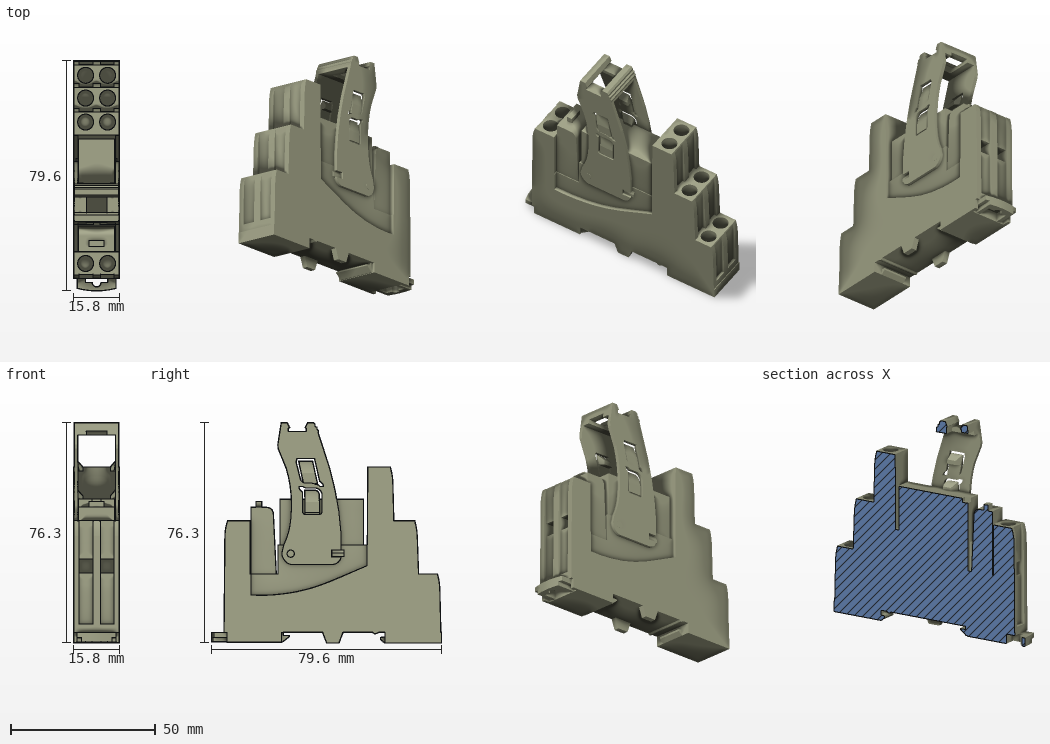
import cadquery as cq


OVERLAP = 1.0

WIDTH = 15.8
LENGTH = 79.61
HEIGHT = 76.3
HALF_WIDTH = WIDTH / 2
BACK_Y = LENGTH / 2
TAB_TIP_Y = -LENGTH / 2

STEP_LOW_Z = 24.0
STEP_MID_Z = 42.35
STEP_HIGH_Z = 60.95
LOW_TOP_Y = 38.35
MID_WALL_Y = 31.85
MID_TOP_Y = 30.5
HIGH_WALL_Y = 23.3
HIGH_TOP_Y = 22.05
SHOULDER_DROP = 5.45
TOWER_Y = 14.2
FRONT_Y = -35.5
FRONT_TOP_Y = -34.25
FRONT_TOWER_Y = -26.4

RAIL_SEAT_Z = 3.7
PLINTH_Z = 3.85
PLINTH_STEP = 0.25
FRONT_FOOT_Z = 0.25
BACK_FOOT_Y = 20.15
FRONT_FOOT_Y = -15.65
FRONT_FOOT_END_Y = -34.5
BACK_HOOK_HALF_WIDTH = 4.75
FRONT_HOOK_HALF_WIDTH = 6.9
KEEL_RIB_WIDTH = 2.0

CORE_HALF_WIDTH = 6.5
CORE_TOP_Z = 34.0
CORE_BACK_Y = 14.0
CORE_FRONT_Y = -16.85
RECESS_FRONT_Y = -26.2
RECESS_BACK_Z = 26.8
RECESS_FRONT_Z = 16.6
CORE_NOTCH_WIDTH = 2.2
CORE_NOTCH_DEPTH = 0.75

SCREW_HOLE_DIAMETER = 5.5
SCREW_HOLE_DEPTH = 10.0
SCREW_HOLE_X = 3.8
POCKET_INNER_X = 1.3
POCKET_OUTER_X = 6.0
POCKET_BOTTOM_Z = 6.55
POCKET_FRONT_FLOOR_Y = -34.1
WIRE_ENTRY_BOTTOM_Z = 24.2
WIRE_ENTRY_TOP_Z = 29.1
WIRE_ENTRY_DEPTH = 6.0

COVER_HALF_WIDTH = 6.24
RELAY_BACK_Y = 12.8
RELAY_FRONT_Y = -16.15
RELAY_TOP_Z = 49.8
RELAY_NOTCH_WIDTH = 3.2
RELAY_NOTCH_LENGTH = 2.4
RELAY_NOTCH_DEPTH = 1.4
MODULE_TOP_Z = 47.0
MODULE_FOOT_Y = -17.35
MODULE_SHOULDER_Y = -18.35
MODULE_SHOULDER_RADIUS = 2.4
BUTTON_WIDTH = 5.2
BUTTON_BACK_Y = -22.4
BUTTON_FRONT_Y = -24.45
BUTTON_HEIGHT = 2.05

LEVER_OUTER_X = 7.75
LEVER_INNER_X = 6.46
LEVER_BOTTOM_Z = 27.2
BAR_BOTTOM_Z = 71.9
BAR_SADDLE_Z = 73.2
BAR_SLOT_HALF_WIDTH = 3.57
BAR_SLOT_TOP_Z = 73.4
BAR_SADDLE_BACK_Y = -7.1
BAR_SADDLE_FRONT_Y = -13.25
BAR_FRONT_LIMIT_Y = -18.0
PIN_Y = -12.4
PIN_Z = 30.95
PIN_DIAMETER = 2.5
PIN_PROUD = 0.08

TAB_RECESS = 0.1
TAB_TIP_OUTER_X = 6.7
WEDGE_TIP_X = 4.75
WEDGE_SLOPE_HEIGHT = 2.0
WEDGE_HEIGHT = 3.5
TAB_BEND_DROP = 4.2
ROOT_WEB_OUTER_X = 7.2
UPPER_TAB_TOP_Z = 62.95
UPPER_TAB_BOTTOM_Z = 55.1
UPPER_WEDGE_FRONT_Y = -9.4
LOWER_WINDOW_BOTTOM_Z = 44.5
LOWER_TAB_TOP_Z = 52.9
LOWER_TAB_BOTTOM_Z = 45.15
LOWER_WEDGE_FRONT_Y = -7.5

NUB_BACK_Y = 5.95
NUB_FRONT_Y = 1.95
NUB_TOP_Z = 32.2
NUB_MIDDLE_Z = 31.1
NUB_BOTTOM_Z = 29.9
NUB_TIP_X = 7.1
LATCH_SLOT_FRONT_Y = 1.7
LATCH_SLOT_BACK_Y = 7.0
LATCH_SLOT_CLEARANCE = 0.1

RELEASE_HALF_WIDTH = 6.75
RELEASE_LOWER_HALF_WIDTH = 5.25
RELEASE_BOTTOM_Z = 0.45
RELEASE_STEP_Z = 1.95
RELEASE_ROOT_Y = -32.0
RELEASE_CORNER_Y = -38.9
RELEASE_SLOT_HALF_WIDTH = 3.82
RELEASE_SLOT_Y = -36.85
RELEASE_EYE_RADIUS = 1.5


def box(x0, x1, y0, y1, z0, z1):
    """Axis-aligned box between two opposite corners."""
    return cq.Workplane("XY").box(x1 - x0, y1 - y0, z1 - z0, centered=False).translate((x0, y0, z0))


def across(profile, x0, x1):
    """Extrude a closed (Y, Z) profile from x0 to x1."""
    return profile.extrude(x1 - x0).translate((x0, 0, 0))


def yz(points):
    """Closed (Y, Z) polygon."""
    return cq.Workplane("YZ").polyline(points).close()


def both_sides(shape):
    """Add the copy mirrored across the middle plane."""
    return shape.union(shape.mirror("YZ"))


def base_body():
    """Stepped socket housing over the full width, with the curved side recess left open."""
    profile = (
        cq.Workplane("YZ")
        .moveTo(BACK_FOOT_Y, 0)
        .lineTo(BACK_Y, 0)
        .lineTo(BACK_Y, PLINTH_Z)
        .lineTo(BACK_Y - PLINTH_STEP, PLINTH_Z)
        .lineTo(39.2, STEP_LOW_Z - SHOULDER_DROP)
        .tangentArcPoint((LOW_TOP_Y, STEP_LOW_Z), relative=False)
        .lineTo(MID_WALL_Y, STEP_LOW_Z)
        .lineTo(31.4, STEP_MID_Z - SHOULDER_DROP)
        .tangentArcPoint((MID_TOP_Y, STEP_MID_Z), relative=False)
        .lineTo(HIGH_WALL_Y, STEP_MID_Z)
        .lineTo(22.95, STEP_HIGH_Z - SHOULDER_DROP)
        .tangentArcPoint((HIGH_TOP_Y, STEP_HIGH_Z), relative=False)
        .lineTo(TOWER_Y, STEP_HIGH_Z)
        .lineTo(CORE_BACK_Y, RECESS_BACK_Z)
        .spline(
            [(3.8, 22.4), (-5.0, 19.1), (-15.2, 17.0), (RECESS_FRONT_Y, RECESS_FRONT_Z)],
            includeCurrent=True,
        )
        .lineTo(RECESS_FRONT_Y, STEP_LOW_Z)
        .lineTo(FRONT_TOWER_Y, STEP_LOW_Z)
        .lineTo(FRONT_TOWER_Y, STEP_MID_Z)
        .lineTo(FRONT_TOP_Y, STEP_MID_Z)
        .threePointArc((-34.95, 39.65), (-35.2, STEP_MID_Z - SHOULDER_DROP))
        .lineTo(FRONT_Y, RAIL_SEAT_Z)
        .lineTo(FRONT_FOOT_END_Y, RAIL_SEAT_Z)
        .lineTo(FRONT_FOOT_END_Y, FRONT_FOOT_Z)
        .lineTo(FRONT_FOOT_Y, FRONT_FOOT_Z)
        .lineTo(FRONT_FOOT_Y, RAIL_SEAT_Z)
        .lineTo(16.0, RAIL_SEAT_Z)
        .lineTo(16.5, 3.2)
        .lineTo(17.0, 3.2)
        .lineTo(18.0, RAIL_SEAT_Z)
        .lineTo(BACK_FOOT_Y, RAIL_SEAT_Z)
        .close()
    )
    return across(profile, -HALF_WIDTH, HALF_WIDTH)


def core():
    """Narrower block that carries the relay and the module."""
    back_y = CORE_BACK_Y + OVERLAP
    front_y = FRONT_TOWER_Y - OVERLAP
    bottom_z = RECESS_FRONT_Z - OVERLAP
    profile = yz(
        [
            (back_y, bottom_z),
            (back_y, CORE_TOP_Z),
            (CORE_FRONT_Y, CORE_TOP_Z),
            (CORE_FRONT_Y, STEP_LOW_Z),
            (front_y, STEP_LOW_Z),
            (front_y, bottom_z),
        ]
    )
    block = across(profile, -CORE_HALF_WIDTH, CORE_HALF_WIDTH)
    notch = box(
        -CORE_NOTCH_WIDTH / 2,
        CORE_NOTCH_WIDTH / 2,
        CORE_FRONT_Y,
        CORE_FRONT_Y + CORE_NOTCH_DEPTH,
        STEP_LOW_Z,
        CORE_TOP_Z,
    )
    return block.cut(notch)


def rail_hooks():
    """Two hooks that grip the mounting rail."""
    root_y = BACK_FOOT_Y + OVERLAP
    back_hook = yz(
        [
            (root_y, 2.2),
            (BACK_FOOT_Y, 2.2),
            (18.6, 2.0),
            (18.6, 1.3),
            (BACK_FOOT_Y, 0),
            (root_y, 0),
        ]
    )
    front_hook = yz(
        [
            (FRONT_FOOT_Y - OVERLAP, RAIL_SEAT_Z),
            (-14.9, RAIL_SEAT_Z),
            (-14.9, 2.7),
            (-12.8, 2.7),
            (-12.8, 2.3),
            (-15.2, 0.4),
            (FRONT_FOOT_Y - OVERLAP, 0.4),
        ]
    )
    hooks = across(back_hook, -BACK_HOOK_HALF_WIDTH, BACK_HOOK_HALF_WIDTH)
    return hooks.union(across(front_hook, -FRONT_HOOK_HALF_WIDTH, FRONT_HOOK_HALF_WIDTH))


def keel_ribs():
    """Tapered ribs under the rail seat, one along each side."""
    profile = yz([(5.7, RAIL_SEAT_Z), (4.3, 0), (0, 0), (-1.4, RAIL_SEAT_Z)])
    return both_sides(across(profile, HALF_WIDTH - KEEL_RIB_WIDTH, HALF_WIDTH))


def screw_holes():
    """Two screw holes in every terminal step."""
    rows = [(34.75, STEP_LOW_Z), (26.9, STEP_MID_Z), (18.6, STEP_HIGH_Z), (-30.3, STEP_MID_Z)]
    holes = cq.Workplane("XY")
    for y, top_z in rows:
        row = (
            cq.Workplane("XY", origin=(0, y, top_z))
            .pushPoints([(-SCREW_HOLE_X, 0), (SCREW_HOLE_X, 0)])
            .circle(SCREW_HOLE_DIAMETER / 2)
            .extrude(-SCREW_HOLE_DEPTH)
        )
        holes = holes.add(row)
    return holes.combine()


def wire_pockets():
    """Upright channels in the end walls; those of the -Y end lead into wire entries."""
    channels = [
        (38.5, BACK_Y + OVERLAP, POCKET_BOTTOM_Z, STEP_LOW_Z),
        (30.65, MID_WALL_Y + OVERLAP, STEP_LOW_Z, STEP_MID_Z),
        (22.25, HIGH_WALL_Y + OVERLAP, STEP_MID_Z, STEP_HIGH_Z),
        (FRONT_Y - OVERLAP, POCKET_FRONT_FLOOR_Y, POCKET_BOTTOM_Z, STEP_MID_Z),
        (
            FRONT_Y,
            POCKET_FRONT_FLOOR_Y + WIRE_ENTRY_DEPTH,
            WIRE_ENTRY_BOTTOM_Z,
            WIRE_ENTRY_TOP_Z,
        ),
    ]
    pockets = cq.Workplane("XY")
    for y0, y1, z0, z1 in channels:
        pockets = pockets.add(box(POCKET_INNER_X, POCKET_OUTER_X, y0, y1, z0, z1))
    return both_sides(pockets.combine())


def relay():
    """Plug-in relay with a small notch at its front top edge."""
    case = box(
        -COVER_HALF_WIDTH,
        COVER_HALF_WIDTH,
        RELAY_FRONT_Y,
        RELAY_BACK_Y,
        CORE_TOP_Z - OVERLAP,
        RELAY_TOP_Z,
    )
    notch = box(
        -RELAY_NOTCH_WIDTH / 2,
        RELAY_NOTCH_WIDTH / 2,
        RELAY_FRONT_Y,
        RELAY_FRONT_Y + RELAY_NOTCH_LENGTH,
        RELAY_TOP_Z - RELAY_NOTCH_DEPTH,
        RELAY_TOP_Z,
    )
    return case.cut(notch)


def indicator_module():
    """Leaning module with a rounded shoulder and a push button on top."""
    profile = (
        cq.Workplane("YZ")
        .moveTo(MODULE_FOOT_Y, STEP_LOW_Z - OVERLAP)
        .lineTo(MODULE_FOOT_Y, STEP_LOW_Z)
        .lineTo(MODULE_SHOULDER_Y, MODULE_TOP_Z - MODULE_SHOULDER_RADIUS)
        .radiusArc(
            (MODULE_SHOULDER_Y - MODULE_SHOULDER_RADIUS, MODULE_TOP_Z),
            -MODULE_SHOULDER_RADIUS,
        )
        .lineTo(RECESS_FRONT_Y, MODULE_TOP_Z)
        .lineTo(RECESS_FRONT_Y, STEP_LOW_Z - OVERLAP)
        .close()
    )
    module = across(profile, -COVER_HALF_WIDTH, COVER_HALF_WIDTH)
    button = box(
        -BUTTON_WIDTH / 2,
        BUTTON_WIDTH / 2,
        BUTTON_FRONT_Y,
        BUTTON_BACK_Y,
        MODULE_TOP_Z,
        MODULE_TOP_Z + BUTTON_HEIGHT,
    )
    return module.union(button)


def lever_profile():
    """Side outline of the lever, with grip ridges at the back and hooked jaws on top."""
    return (
        cq.Workplane("YZ")
        .moveTo(-6.6, HEIGHT)
        .lineTo(-4.6, HEIGHT)
        .lineTo(-3.95, 75.7)
        .lineTo(-3.95, 74.9)
        .lineTo(-3.3, 74.7)
        .lineTo(-3.3, 73.9)
        .lineTo(-2.75, 73.5)
        .lineTo(-2.85, 72.7)
        .lineTo(1.15, 60.3)
        .threePointArc((3.65, 49.3), (5.0, 38.0))
        .lineTo(5.0, LEVER_BOTTOM_Z + 2.5)
        .threePointArc((4.1, 28.1), (2.0, LEVER_BOTTOM_Z))
        .lineTo(-12.3, LEVER_BOTTOM_Z)
        .threePointArc((-14.6, 28.7), (-15.45, 31.2))
        .lineTo(-14.8, CORE_TOP_Z)
        .spline([(-13.0, 39.0), (-12.2, 45.5), (-12.6, 54.2), (-14.0, 60.5)], includeCurrent=True)
        .lineTo(-16.75, 67.2)
        .lineTo(-16.9, 68.6)
        .lineTo(-15.7, HEIGHT)
        .lineTo(-13.6, HEIGHT)
        .lineTo(-12.7, 74.5)
        .lineTo(BAR_SADDLE_FRONT_Y, 74.3)
        .lineTo(BAR_SADDLE_FRONT_Y, BAR_SADDLE_Z)
        .lineTo(BAR_SADDLE_BACK_Y, BAR_SADDLE_Z)
        .lineTo(BAR_SADDLE_BACK_Y, 74.3)
        .lineTo(-7.4, 74.5)
        .close()
    )


def upper_window():
    """Slanted window with a short tail at its lower back corner."""
    return (
        cq.Workplane("YZ")
        .moveTo(-1.1, 54.2)
        .lineTo(-2.3, 54.2)
        .lineTo(-2.9, 54.8)
        .lineTo(-5.0, 55.3)
        .lineTo(-7.2, 55.3)
        .threePointArc((-8.5, 55.9), (-9.1, 57.1))
        .lineTo(-10.5, 62.7)
        .lineTo(-10.2, 63.8)
        .lineTo(-4.2, 63.8)
        .lineTo(-2.4, 55.9)
        .threePointArc((-1.5, 55.2), (-1.1, 54.2))
        .close()
    )


def lower_window():
    """Upright window with a short tail at its upper front corner."""
    return (
        cq.Workplane("YZ")
        .moveTo(-2.2, LOWER_WINDOW_BOTTOM_Z)
        .lineTo(-7.7, LOWER_WINDOW_BOTTOM_Z)
        .lineTo(-8.3, 45.1)
        .lineTo(-8.3, 52.3)
        .threePointArc((-9.2, 53.1), (-9.5, 54.1))
        .lineTo(-8.2, 54.1)
        .lineTo(-7.2, 53.6)
        .lineTo(-4.0, 53.6)
        .threePointArc((-2.3, 52.9), (-1.6, 51.2))
        .lineTo(-1.6, 45.1)
        .close()
    )


def upper_tab_outline():
    """Side outline of the slanted upper tab."""
    return yz(
        [
            (-9.7, UPPER_TAB_TOP_Z),
            (-8.0, UPPER_TAB_BOTTOM_Z),
            (-3.1, UPPER_TAB_BOTTOM_Z),
            (-4.8, UPPER_TAB_TOP_Z),
        ]
    )


def lower_tab_outline():
    """Side outline of the lower tab, down to the bottom of its window."""
    return (
        cq.Workplane("YZ")
        .moveTo(-2.4, LOWER_WINDOW_BOTTOM_Z)
        .lineTo(-7.4, LOWER_WINDOW_BOTTOM_Z)
        .lineTo(-7.6, LOWER_TAB_TOP_Z)
        .lineTo(-3.9, LOWER_TAB_TOP_Z)
        .threePointArc((-2.9, 52.3), (-2.5, 51.2))
        .close()
    )


def spring_tab(outline, top_z, bottom_z, wedge_front_y):
    """Tab whose upper end bends inward and ends in a wedge; below bottom_z a thin web roots it.

    The wedge is bevelled at 45 degrees on its -Y side, starting at wedge_front_y.
    """
    root_z = bottom_z - OVERLAP
    outer_x = LEVER_OUTER_X - TAB_RECESS
    section = (
        cq.Workplane("XZ")
        .polyline(
            [
                (ROOT_WEB_OUTER_X, root_z),
                (ROOT_WEB_OUTER_X, bottom_z),
                (outer_x, bottom_z),
                (outer_x, top_z - TAB_BEND_DROP),
                (TAB_TIP_OUTER_X, top_z),
                (LEVER_INNER_X, top_z),
                (WEDGE_TIP_X, top_z - WEDGE_SLOPE_HEIGHT),
                (WEDGE_TIP_X, top_z - WEDGE_HEIGHT),
                (LEVER_INNER_X, top_z - WEDGE_HEIGHT),
                (LEVER_INNER_X, root_z),
            ]
        )
        .close()
        .extrude(LENGTH / 2, both=True)
    )
    bevel_length = LEVER_INNER_X - WEDGE_TIP_X
    bevel = (
        cq.Workplane("XY")
        .polyline(
            [
                (LEVER_INNER_X, wedge_front_y),
                (WEDGE_TIP_X, wedge_front_y + bevel_length),
                (WEDGE_TIP_X, wedge_front_y - bevel_length),
                (LEVER_INNER_X, wedge_front_y - bevel_length),
            ]
        )
        .close()
        .extrude(HEIGHT)
    )
    return across(outline, 0, HALF_WIDTH).intersect(section).cut(bevel)


def lever():
    """Two side plates joined at the top by a slotted bar."""
    plate = across(lever_profile(), LEVER_INNER_X, LEVER_OUTER_X)
    plate = plate.cut(across(upper_window(), 0, HALF_WIDTH))
    plate = plate.cut(across(lower_window(), 0, HALF_WIDTH))
    latch_slot = box(
        0,
        HALF_WIDTH,
        LATCH_SLOT_FRONT_Y,
        LATCH_SLOT_BACK_Y,
        NUB_BOTTOM_Z - LATCH_SLOT_CLEARANCE,
        NUB_TOP_Z,
    )
    plate = plate.cut(latch_slot)
    upper_tab = spring_tab(upper_tab_outline(), UPPER_TAB_TOP_Z, UPPER_TAB_BOTTOM_Z, UPPER_WEDGE_FRONT_Y)
    lower_tab = spring_tab(lower_tab_outline(), LOWER_TAB_TOP_Z, LOWER_TAB_BOTTOM_Z, LOWER_WEDGE_FRONT_Y)
    plate = plate.union(upper_tab).union(lower_tab)
    pin = (
        cq.Workplane("YZ", origin=(LEVER_INNER_X, PIN_Y, PIN_Z))
        .circle(PIN_DIAMETER / 2)
        .extrude(LEVER_OUTER_X + PIN_PROUD - LEVER_INNER_X)
    )
    plate = plate.union(pin)

    bar = across(lever_profile(), -LEVER_OUTER_X, LEVER_OUTER_X)
    bar = bar.intersect(box(-HALF_WIDTH, HALF_WIDTH, BAR_FRONT_LIMIT_Y, BACK_Y, BAR_BOTTOM_Z, HEIGHT))
    slot = box(
        -BAR_SLOT_HALF_WIDTH,
        BAR_SLOT_HALF_WIDTH,
        BAR_FRONT_LIMIT_Y,
        BAR_SADDLE_BACK_Y,
        BAR_BOTTOM_Z,
        BAR_SLOT_TOP_Z,
    )
    return both_sides(plate).union(bar.cut(slot))


def latch_nubs():
    """Bevelled nubs on the core sides that hold the lever."""
    nub = (
        cq.Workplane("XZ", origin=(0, NUB_BACK_Y, 0))
        .polyline(
            [
                (CORE_HALF_WIDTH - OVERLAP, NUB_BOTTOM_Z),
                (NUB_TIP_X, NUB_BOTTOM_Z),
                (NUB_TIP_X, NUB_MIDDLE_Z),
                (CORE_HALF_WIDTH, NUB_TOP_Z),
                (CORE_HALF_WIDTH - OVERLAP, NUB_TOP_Z),
            ]
        )
        .close()
        .extrude(NUB_BACK_Y - NUB_FRONT_Y)
    )
    return both_sides(nub)


def release_tab_opening():
    """Opening in the front foot from which the release tab emerges."""
    return box(
        -RELEASE_HALF_WIDTH,
        RELEASE_HALF_WIDTH,
        FRONT_FOOT_END_Y,
        RELEASE_ROOT_Y,
        0,
        RAIL_SEAT_Z,
    )


def release_tab():
    """Tab with a bowed end, stepped lower corners and a keyhole-shaped slot."""
    root_y = RELEASE_ROOT_Y + OVERLAP
    bowed = (
        cq.Workplane("XY", origin=(0, 0, RELEASE_BOTTOM_Z))
        .moveTo(-RELEASE_HALF_WIDTH, root_y)
        .lineTo(-RELEASE_HALF_WIDTH, RELEASE_CORNER_Y)
        .threePointArc((0, TAB_TIP_Y), (RELEASE_HALF_WIDTH, RELEASE_CORNER_Y))
        .lineTo(RELEASE_HALF_WIDTH, root_y)
        .close()
        .extrude(RAIL_SEAT_Z - RELEASE_BOTTOM_Z)
    )
    corner = box(
        RELEASE_LOWER_HALF_WIDTH,
        RELEASE_HALF_WIDTH,
        TAB_TIP_Y,
        RELEASE_ROOT_Y,
        RELEASE_BOTTOM_Z,
        RELEASE_STEP_Z,
    )
    slot = box(
        -RELEASE_SLOT_HALF_WIDTH,
        RELEASE_SLOT_HALF_WIDTH,
        RELEASE_SLOT_Y,
        RELEASE_ROOT_Y,
        0,
        RAIL_SEAT_Z,
    )
    eye = (
        cq.Workplane("XY")
        .center(0, RELEASE_SLOT_Y)
        .circle(RELEASE_EYE_RADIUS)
        .extrude(RAIL_SEAT_Z)
    )
    return bowed.cut(both_sides(corner)).cut(slot).cut(eye)


socket = base_body().union(core()).cut(wire_pockets()).cut(screw_holes())
socket = socket.cut(release_tab_opening())
socket = socket.union(rail_hooks()).union(keel_ribs()).union(release_tab()).union(latch_nubs())
result = socket.union(relay()).union(indicator_module()).union(lever())